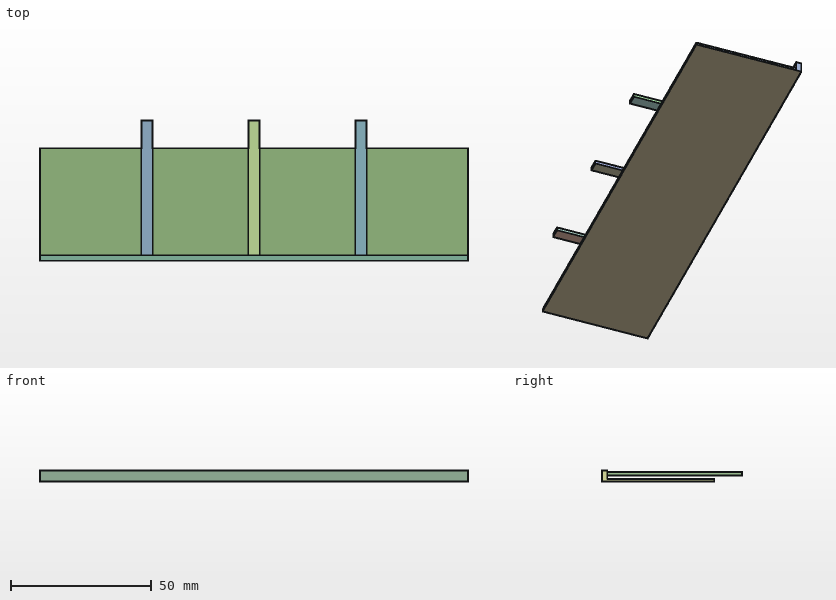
import cadquery as cq

length = 152.3
depth = 50.0
height = 4.0
rail_width = 2.0
plate_reach = 40.0
plate_thickness = 0.99
arm_width = 4.0
arm_thickness = 1.4
arm_drop = 0.5
arm_count = 3
arm_pitch = length / (arm_count + 1)


def front_box(size_x, size_y, size_z, z_bottom, x_center=0.0):
    """Box centred in X whose front face lies on Y = 0."""
    return (
        cq.Workplane("XY")
        .box(size_x, size_y, size_z, centered=(True, False, False))
        .translate((x_center, 0, z_bottom))
    )


result = front_box(length, rail_width, height, 0)
result = result.union(front_box(length, plate_reach, plate_thickness, 0))

for index in range(arm_count):
    arm_x = (index - (arm_count - 1) / 2) * arm_pitch
    arm_bottom = height - arm_drop - arm_thickness
    result = result.union(front_box(arm_width, depth, arm_thickness, arm_bottom, arm_x))